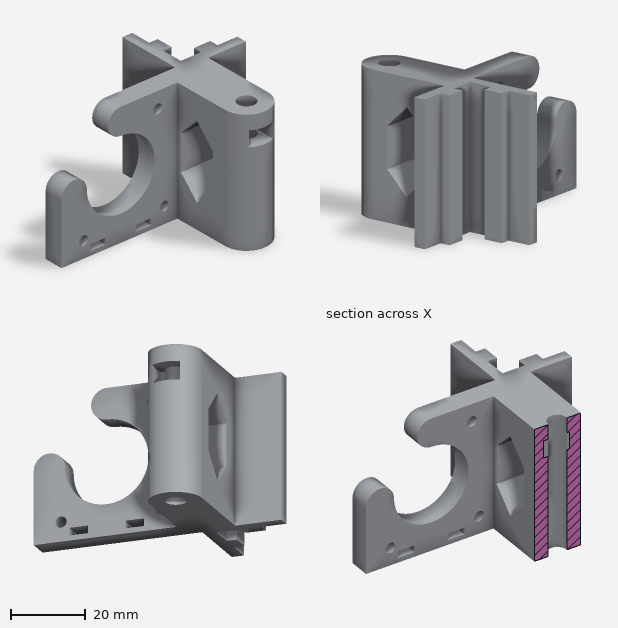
import cadquery as cq

height = 42.0
mid_z = height / 2

wall_length = 20.0
wall_thickness = 3.5
corner_x = wall_length
corner_y = 69.45 - wall_length
rib_offset = 7.2
rib_width = 5.75
rib_height = 3.0

plate_x = 21.75
plate_thickness = 6.5
ring_outer_radius = mid_z
ring_inner_radius = 12.0
ring_y = ring_outer_radius
tip_radius = (ring_outer_radius - ring_inner_radius) / 2
tip_distance = (ring_outer_radius + ring_inner_radius) / 2
screw_diameter = 3.2
screw_centres = [(34.1, 36.5), (36.4, 5.55), (7.85, 5.55)]
tie_slot_length = 5.35
tie_slot_height = 2.15
tie_slot_bottom = 1.45
tie_slot_spacing = 16.05

arm_end_x = 55.4
arm_radius = 7.5
arm_y = 48.55
pivot_x = arm_end_x - arm_radius
pivot_diameter = 6.0

window_x = 36.3
window_half_width = 6.6
window_half_straight = 6.05
window_half_height = 12.65

nut_slot_width = 8.1
nut_slot_height = 5.3
nut_slot_bottom = 31.95
nut_slot_y = 48.2


def block(x, y, z, length, width, tall):
    """Box placed by its lowest corner."""
    return cq.Workplane("XY").box(length, width, tall, centered=False).translate((x, y, z))


def corner_bracket():
    outer_wall = wall_length + wall_thickness
    along_x = block(0, corner_y - wall_thickness, 0, outer_wall, wall_thickness, height)
    along_y = block(corner_x, corner_y - wall_thickness, 0, wall_thickness, outer_wall, height)
    rib_x = block(corner_x - rib_offset - rib_width, corner_y, 0, rib_width, rib_height, height)
    rib_y = block(corner_x - rib_height, corner_y + rib_offset, 0, rib_height, rib_width, height)
    return along_x.union(along_y).union(rib_x).union(rib_y)


def plate_sketch():
    """Workplane on the outer plate face; its local axes are Y and Z."""
    return cq.Workplane("YZ", origin=(plate_x, 0, 0))


def hook_plate():
    slab = plate_sketch().rect(corner_y, height, centered=False).extrude(plate_thickness)
    mouth = (
        plate_sketch()
        .rect(ring_y, height - mid_z, centered=False)
        .extrude(plate_thickness)
        .translate((0, 0, mid_z))
    )
    bore = plate_sketch().center(ring_y, mid_z).circle(ring_inner_radius).extrude(plate_thickness)
    tips = (
        plate_sketch()
        .pushPoints([(ring_y, mid_z + tip_distance), (ring_y - tip_distance, mid_z)])
        .circle(tip_radius)
        .extrude(plate_thickness)
    )
    return slab.cut(mouth).cut(bore).union(tips)


def plate_holes():
    screws = plate_sketch().pushPoints(screw_centres).circle(screw_diameter / 2).extrude(plate_thickness)
    tie_slots = (
        plate_sketch()
        .center(ring_y, tie_slot_bottom + tie_slot_height / 2)
        .rarray(tie_slot_spacing, 0.7, 2, 1)
        .rect(tie_slot_length, tie_slot_height)
        .extrude(plate_thickness)
    )
    return screws.union(tie_slots)


def pivot_arm():
    root = block(corner_x + wall_thickness, arm_y - arm_radius, 0,
                 pivot_x - corner_x - wall_thickness, 2 * arm_radius, height)
    end = cq.Workplane("XY").center(pivot_x, arm_y).circle(arm_radius).extrude(height)
    return root.union(end)


def pivot_hole():
    return cq.Workplane("XY").center(pivot_x, arm_y).circle(pivot_diameter / 2).extrude(height)


def arm_window():
    outline = [
        (-window_half_width, -window_half_straight),
        (0, -window_half_height),
        (window_half_width, -window_half_straight),
        (window_half_width, window_half_straight),
        (0, window_half_height),
        (-window_half_width, window_half_straight),
    ]
    return (
        cq.Workplane("XZ", origin=(window_x, arm_y, mid_z))
        .polyline(outline)
        .close()
        .extrude(arm_radius, both=True)
    )


def nut_slot():
    """Pocket running from the arm end in to the pivot axis."""
    return block(pivot_x, nut_slot_y - nut_slot_width / 2, nut_slot_bottom,
                 arm_radius, nut_slot_width, nut_slot_height)


body = corner_bracket().union(hook_plate()).union(pivot_arm())
result = body.cut(plate_holes()).cut(pivot_hole()).cut(arm_window()).cut(nut_slot())